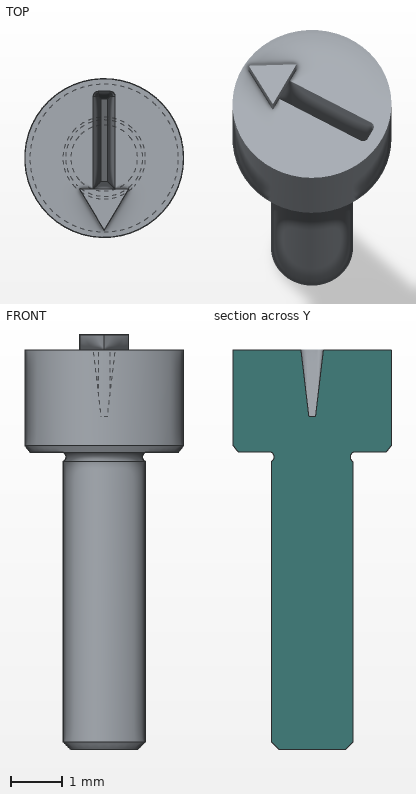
import cadquery as cq
import math

total_height = 8.1
head_diameter = 3.1
shank_diameter = 1.6
arrow_height = 0.3
head_height = 2.0
head_chamfer_width = 0.105
head_chamfer_height = 0.14
tip_chamfer = 0.15

neck_diameter = 1.5
neck_height = 0.18

arrow_width = 0.955
arrow_base_y = -0.61
arrow_tip_y = -1.41

slot_width = 0.43
slot_end_y = 1.305
slot_start_y = arrow_base_y
slot_depth = 1.3
slot_corner_radius = 0.105
slot_wall_inset = 0.15

head_top = total_height - arrow_height
head_bottom = head_top - head_height
shank_top = head_bottom - neck_height
head_radius = head_diameter / 2
shank_radius = shank_diameter / 2
neck_radius = neck_diameter / 2


def make_body():
    """Revolve the head, concave neck and shank about Z."""
    neck_middle = (neck_radius, (head_bottom + shank_top) / 2)
    profile = (
        cq.Workplane("XZ")
        .lineTo(shank_radius - tip_chamfer, 0)
        .lineTo(shank_radius, tip_chamfer)
        .lineTo(shank_radius, shank_top)
        .threePointArc(neck_middle, (shank_radius, head_bottom))
        .lineTo(head_radius - head_chamfer_width, head_bottom)
        .lineTo(head_radius, head_bottom + head_chamfer_height)
        .lineTo(head_radius, head_top)
        .lineTo(0, head_top)
        .close()
    )
    return profile.revolve(360, (0, 0, 0), (0, 1, 0))


def make_slot():
    """Pocket volume narrowing downward, with its far corners rounded at the rim."""
    length = slot_end_y - slot_start_y
    center_y = (slot_end_y + slot_start_y) / 2
    taper = math.degrees(math.atan2(slot_wall_inset, slot_depth))
    return (
        cq.Workplane("XY", origin=(0, center_y, head_top))
        .sketch()
        .rect(slot_width, length)
        .vertices(">Y")
        .fillet(slot_corner_radius)
        .finalize()
        .extrude(-slot_depth, taper=taper)
    )


def make_arrowhead():
    """Triangular prism standing on the head."""
    corners = [(-arrow_width / 2, arrow_base_y), (arrow_width / 2, arrow_base_y), (0, arrow_tip_y)]
    return cq.Workplane("XY", origin=(0, 0, head_top)).polyline(corners).close().extrude(arrow_height)


result = make_body().cut(make_slot()).union(make_arrowhead())